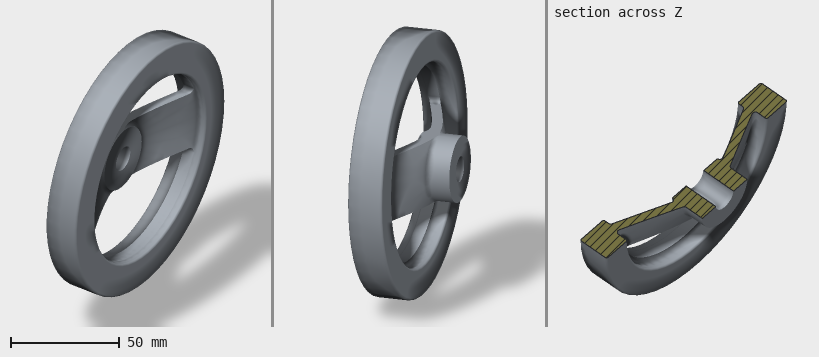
import cadquery as cq
import math

rim_diameter = 125.0
rim_width = 16.5
rim_front_bore_diameter = 96.0
rim_back_bore_diameter = 92.4
rim_edge_radius = 1.0
overall_width = 33.5

hub_diameter = 31.2
hub_length = 18.5
bore_diameter = 12.0

web_front_start = 10.8
web_front_angle = 23.5
web_back_start = 16.1
web_back_angle = 23.5
hub_fillet_radius = 1.5
rim_fillet_radius = 1.5

spoke_width = hub_diameter
window_diameter = 92.0
window_corner_radius = 2.0

rim_radius = rim_diameter / 2
rim_front_bore_radius = rim_front_bore_diameter / 2
rim_back_bore_radius = rim_back_bore_diameter / 2
rim_front = overall_width - rim_width
hub_radius = hub_diameter / 2


def cone_position(start, angle, radius):
    """X position of a cone that leaves the hub surface at x = start."""
    return start + (radius - hub_radius) * math.tan(math.radians(angle))


def circle_at(axial, radius):
    """Selects the circular edges centred on the axis at one axial position and radius."""
    margin = 0.01
    outer = cq.selectors.BoxSelector(
        (axial - margin, -radius - margin, -radius - margin),
        (axial + margin, radius + margin, radius + margin),
        boundingbox=True,
    )
    inner = cq.selectors.BoxSelector(
        (axial - margin, -radius + margin, -radius + margin),
        (axial + margin, radius - margin, radius - margin),
        boundingbox=True,
    )
    return outer - inner


def make_wheel_body():
    """Revolves hub, web and rim as one blank, then rounds its edges and web roots."""
    web_front_end = cone_position(web_front_start, web_front_angle, rim_front_bore_radius)
    web_back_end = cone_position(web_back_start, web_back_angle, rim_back_bore_radius)
    half_section = [
        (0, 0),
        (0, hub_radius),
        (web_front_start, hub_radius),
        (web_front_end, rim_front_bore_radius),
        (rim_front, rim_front_bore_radius),
        (rim_front, rim_radius),
        (overall_width, rim_radius),
        (overall_width, rim_back_bore_radius),
        (web_back_end, rim_back_bore_radius),
        (web_back_start, hub_radius),
        (hub_length, hub_radius),
        (hub_length, 0),
    ]
    body = cq.Workplane("XY").polyline(half_section).close().revolve(360, (0, 0, 0), (1, 0, 0))
    for axial in (web_front_start, web_back_start):
        body = body.edges(circle_at(axial, hub_radius)).fillet(hub_fillet_radius)
    rim_sides = (
        (rim_front, web_front_end, rim_front_bore_radius),
        (overall_width, web_back_end, rim_back_bore_radius),
    )
    for rim_face, web_end, rim_bore_radius in rim_sides:
        body = body.edges(circle_at(web_end, rim_bore_radius)).fillet(rim_fillet_radius)
        body = body.edges(circle_at(rim_face, rim_bore_radius)).fillet(rim_edge_radius)
        body = body.edges(circle_at(rim_face, rim_radius)).fillet(rim_edge_radius)
    return body


def make_window(side):
    """Circular-segment cutter on the +Z (side = 1) or -Z (side = -1) side of the spokes."""
    window_radius = window_diameter / 2
    chord_height = side * spoke_width / 2
    half_chord = math.sqrt(window_radius**2 - chord_height**2)
    return (
        cq.Workplane("YZ")
        .moveTo(-half_chord, chord_height)
        .threePointArc((0, side * window_radius), (half_chord, chord_height))
        .close()
        .extrude(overall_width)
        .edges("|X")
        .fillet(window_corner_radius)
    )


def make_bore():
    """Shaft bore through the whole hub."""
    return cq.Workplane("YZ").circle(bore_diameter / 2).extrude(hub_length)


result = make_wheel_body().cut(make_window(1)).cut(make_window(-1)).cut(make_bore())